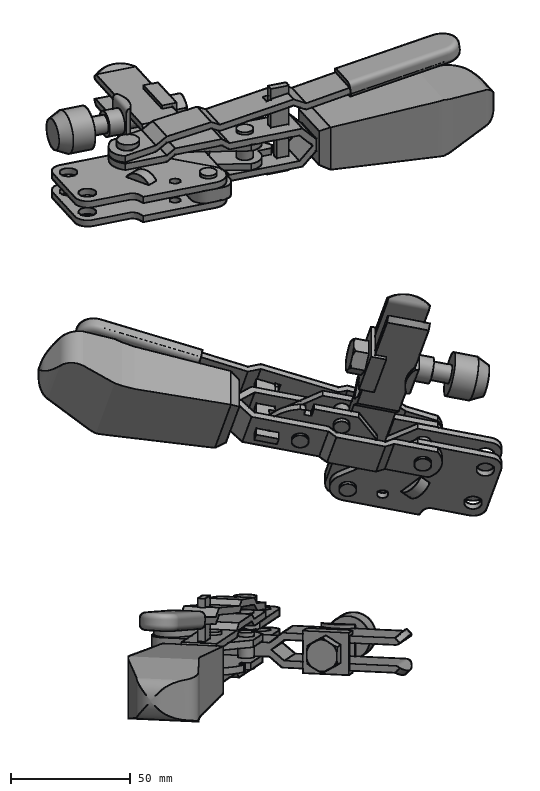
import cadquery as cq
import math


sheet = 3.0
base_inner = sheet
base_outer = base_inner + sheet
handle_inner = base_outer
handle_outer = handle_inner + sheet
reach = 200.2

handle_pivot = (0.0, 0.0)
arm_pivot = (25.0, 25.8)
link_handle_pivot = (0.0, 53.0)
link_arm_pivot = (-10.2, 37.8)
pin_radius = 3.6

base_left = -7.5
base_bottom = -33.5
base_step_x = 27.6
base_step_bottom = -11.8
base_step_top = -7.0
base_notch_middle = (28.5, -9.0)
base_notch_end = (30.0, -7.8)
base_corner = 5.8
arm_boss_radius = 7.6
base_right = arm_pivot[0] + arm_boss_radius
mount_hole_y = -27.0
mount_hole_xs = (0.0, 20.0)
mount_hole_d = 7.5
stop_hole = (24.8, 10.8)
stop_hole_d = 4.6
bump_center = (17.5, -1.5)
bump_length = 12.0
bump_width = 5.2
bump_height = 3.2
bump_angle = 29.0
arm_pivot_head = 7.5
handle_pivot_bottom = -10.2
release_head_radius = 4.8
release_head_bottom = 13.0
release_head_top = 15.8

arm_bottom = 17.0
arm_width = 18.0
arm_top = arm_bottom + arm_width
arm_end_corner = 6.0
leg_inner = 4.5
leg_outer = leg_inner + sheet
leg_join_x = -19.6
leg_split_x = -25.0
leg_join_shift = 0.8
leg_split_shift = 1.0
arm_tip_x = -78.0
flare_length = 3.0
flare_angle = 45.0
flare_x = arm_tip_x + (flare_length + sheet) * math.sin(math.radians(flare_angle))

link_left = -15.8
link_shoulder_y = 47.5
link_low_y = 31.8
link_low_run = 10.8
link_round = 7.2
lock_shoulder_y = 51.3
lock_throat_x = -11.6
lock_tooth_x = -14.2
lock_tooth_y = 54.5
lock_back_y = 56.9
lock_tip = (-4.8, 67.7)
lock_inner_x = -2.5
lock_inner_y = 66.0
link_handle_pin_end = 10.2
link_arm_pin_end = 7.8
link_arm_pin_radius = 3.5

strap_width = 15.2
strap_end_y = -8.0
strap_end_shoulder_y = -4.5
bulge_height = 2.6
bulge_ys = (14.5, 18.2, 39.5, 42.9)
pinch_start_y = 76.0
pinch_end_y = 82.1
pinch_inner_shift = 1.5
handle_tang_y = 120.2

grip_bottom = 82.3
grip_mouth_half = 8.0
grip_mouth_y = 86.5
grip_neck_half = 10.0
grip_crest_y = 137.5
grip_half_height = 13.2
grip_nose_y = 161.0
grip_nose_half = 8.5
grip_top = 166.8

lug_half_thickness = 1.6
lug_back_y = 72.5
lug_front_y = 64.3
lug_neck_y = 66.9
lug_foot_y = 62.7
lug_top = 27.2
lug_shoulder_z = 3.6
lug_bottom = -12.8
slot_half_width = 2.0
slot_front_y = 62.0

cover_width = 16.5
cover_thickness = 7.5
cover_length = 52.9
cover_start_y = 97.7
cover_start_z = 22.6
cover_tilt = 8.6
cover_edge = 2.5

spindle_x = -44.5
spindle_radius = 4.0
hex_flats = 13.0
hex_height = 6.6
hex_corner_chamfer = 0.8
clip_sheet = 1.8
clip_half_height = 9.0
top_clip_width = 19.8
top_clip_depth = 6.6
low_clip_width = 14.5
low_clip_rise = 3.8
low_clip_bend = 1.6
collar_radius = 5.6
collar_bottom = 8.5
bumper_radius = 9.5
bumper_tip_radius = 6.8
bumper_top = 0.2
bumper_cone_y = -9.8
bumper_bottom = -15.2
spindle_end = -8.0


def pin(center, radius, low, high):
    """A round pin parallel to Z."""
    return cq.Workplane("XY", origin=(*center, low)).circle(radius).extrude(high - low)


def plate(outline, low, high):
    """An XY outline (closed wire on a Workplane) extruded from low to high."""
    return outline.extrude(high - low).translate((0, 0, low))


def side_profile(points, half_width):
    """A closed (Y, Z) polygon extruded to both sides of the YZ plane."""
    return cq.Workplane("YZ").polyline(points).close().extrude(half_width, both=True)


def y_cylinder(radius, low, high):
    """A cylinder on the spindle axis."""
    return cq.Workplane("XZ", origin=(spindle_x, high, 0)).circle(radius).extrude(high - low)


def mirrored(body):
    """The body together with its mirror image below the middle plane."""
    return body.union(body.mirror("XY"))


def make_base():
    """Two side plates held together by the arm pivot and the handle pivot."""
    diagonal = arm_boss_radius * math.sqrt(0.5)
    tangent_x = arm_pivot[0] - diagonal
    tangent_y = arm_pivot[1] + diagonal
    boss_top = (arm_pivot[0], arm_pivot[1] + arm_boss_radius)
    outline = (
        cq.Workplane("XY")
        .moveTo(base_left, base_bottom)
        .lineTo(base_step_x, base_bottom)
        .lineTo(base_step_x, base_step_bottom)
        .threePointArc(base_notch_middle, base_notch_end)
        .lineTo(base_right, base_step_top)
        .lineTo(base_right, arm_pivot[1])
        .threePointArc(boss_top, (tangent_x, tangent_y))
        .lineTo(base_left, tangent_y - (tangent_x - base_left))
        .close()
    )
    side = plate(outline, base_inner, base_outer)
    corners = cq.selectors.BoxSelector(
        (base_left - 2, base_bottom - 2, 0), (base_step_x + 2, base_bottom + 2, reach)
    )
    side = side.edges("|Z").edges(corners).fillet(base_corner)
    mount_holes = [(x, mount_hole_y) for x in mount_hole_xs]
    for centers, diameter in ((mount_holes, mount_hole_d), ([stop_hole], stop_hole_d)):
        holes = cq.Workplane("XY").pushPoints(centers).circle(diameter / 2).extrude(reach)
        side = side.cut(holes)
    bump = (
        cq.Workplane("XZ")
        .moveTo(-bump_length / 2, 0)
        .threePointArc((0, bump_height), (bump_length / 2, 0))
        .close()
        .extrude(bump_width / 2, both=True)
        .rotate((0, 0, 0), (0, 0, 1), bump_angle)
        .translate((*bump_center, base_outer))
    )
    base = mirrored(side.union(bump))
    base = base.union(pin(arm_pivot, pin_radius, -arm_pivot_head, arm_pivot_head))
    base = base.union(pin(handle_pivot, pin_radius, handle_pivot_bottom, release_head_top))
    return base.union(pin(handle_pivot, release_head_radius, release_head_bottom, release_head_top))


def make_arm_tip():
    """Round-ended tip bent outward from the upper leg, with the bend that joins it to the leg."""
    half = arm_width / 2
    crease = (flare_x, arm_bottom + half, leg_outer)
    tip = (
        cq.Workplane("XY")
        .moveTo(0, -half)
        .threePointArc((-flare_length, 0), (0, half))
        .close()
        .extrude(-sheet)
        .rotate((0, 0, 0), (0, 1, 0), flare_angle)
        .translate(crease)
    )
    inner_points = []
    for share in (0.5, 1.0):
        angle = math.radians(share * flare_angle)
        inner_points.append((flare_x - sheet * math.sin(angle), leg_outer - sheet * math.cos(angle)))
    bend = (
        cq.Workplane("XZ")
        .moveTo(flare_x, leg_outer)
        .lineTo(flare_x, leg_inner)
        .threePointArc(*inner_points)
        .close()
        .extrude(-arm_width)
        .translate((0, arm_bottom, 0))
    )
    return tip.union(bend)


def make_arm():
    """Two bent sheets, laid together at the pivot and spread into two legs with flared tips."""
    leg = (
        cq.Workplane("XZ")
        .polyline([
            (base_right, 0),
            (base_right, sheet),
            (leg_join_x, sheet),
            (leg_split_x, leg_outer),
            (flare_x, leg_outer),
            (flare_x, leg_inner),
            (leg_split_x - leg_split_shift, leg_inner),
            (leg_join_x - leg_join_shift, 0),
        ])
        .close()
        .extrude(-arm_width)
        .translate((0, arm_bottom, 0))
        .edges("|Z and >X")
        .fillet(arm_end_corner)
    )
    return mirrored(leg.union(make_arm_tip()))


def link_outline():
    """Outline shared by both link plates: a sharp-cornered left side and a round top right."""
    pivot_x, pivot_y = link_handle_pivot
    diagonal = link_round * math.sqrt(0.5)
    return (
        cq.Workplane("XY")
        .moveTo(link_left, link_shoulder_y)
        .lineTo(link_left, link_low_y)
        .lineTo(link_left + link_low_run, link_low_y - link_low_run)
        .lineTo(pivot_x + link_round, pivot_y)
        .threePointArc((pivot_x + diagonal, pivot_y + diagonal), (pivot_x, pivot_y + link_round))
        .lineTo(pivot_x - diagonal / 2, pivot_y + link_round)
        .close()
    )


def lock_hook_outline():
    """Outline of the hook that the release lug catches."""
    return (
        cq.Workplane("XY")
        .moveTo(link_left, link_shoulder_y)
        .lineTo(link_left, lock_shoulder_y)
        .lineTo(lock_throat_x, lock_shoulder_y)
        .lineTo(lock_throat_x, lock_tooth_y)
        .lineTo(lock_tooth_x, lock_tooth_y)
        .lineTo(lock_tooth_x, lock_back_y)
        .threePointArc((-11.6, 61.9), lock_tip)
        .lineTo(lock_inner_x, lock_inner_y)
        .lineTo(lock_inner_x, link_shoulder_y)
        .close()
    )


def make_link():
    """Two link plates on two pins; the lower plate carries the lock hook."""
    upper = plate(link_outline(), base_inner, base_outer)
    lower = plate(link_outline(), -base_outer, -base_inner)
    hook = plate(lock_hook_outline(), -base_outer, -base_inner)
    handle_pin = pin(link_handle_pivot, pin_radius, -link_handle_pin_end, link_handle_pin_end)
    arm_pin = pin(link_arm_pivot, link_arm_pin_radius, -link_arm_pin_end, link_arm_pin_end)
    return handle_pin.union(upper).union(lower).union(hook).union(arm_pin)


def strap_outline():
    """Plan of a strap with a shallow round end at the handle pivot, as a tall prism."""
    half = strap_width / 2
    return (
        cq.Workplane("XY")
        .moveTo(-half, reach)
        .lineTo(-half, strap_end_shoulder_y)
        .threePointArc((0, strap_end_y), (half, strap_end_shoulder_y))
        .lineTo(half, reach)
        .close()
        .extrude(reach, both=True)
    )


def make_handle():
    """Two straps that bulge around the link, then pinch together into a tang."""
    bulge = (0, bulge_height, bulge_height, 0)
    outer = [(strap_end_y, handle_outer)]
    outer += [(y, handle_outer + rise) for y, rise in zip(bulge_ys, bulge)]
    outer += [(pinch_start_y, handle_outer), (pinch_end_y, sheet), (handle_tang_y, sheet)]
    inner = [(strap_end_y, handle_inner)]
    inner += [(y, handle_inner + rise) for y, rise in zip(bulge_ys, bulge)]
    inner += [
        (pinch_start_y - pinch_inner_shift, handle_inner),
        (pinch_end_y - pinch_inner_shift, 0),
        (handle_tang_y, 0),
    ]
    strap = side_profile(outer + inner[::-1], strap_width / 2)
    return mirrored(strap).intersect(strap_outline())


def make_grip():
    """Plan outline and side outline of the grip, intersected."""
    plan = (
        cq.Workplane("XY")
        .moveTo(-11.0, grip_bottom)
        .lineTo(10.6, grip_bottom)
        .lineTo(13.0, grip_mouth_y)
        .lineTo(14.6, 134.2)
        .threePointArc((14.5, 138.0), (13.2, 141.8))
        .lineTo(4.8, 160.8)
        .threePointArc((1.8, 165.2), (-2.8, grip_top))
        .threePointArc((-5.2, grip_top - 0.5), (-7.5, 165.5))
        .lineTo(-15.2, 161.0)
        .threePointArc((-18.8, 157.4), (-19.6, 152.2))
        .lineTo(-15.0, 134.2)
        .lineTo(-14.2, 128.5)
        .lineTo(-13.2, grip_mouth_y)
        .close()
        .extrude(reach, both=True)
    )
    side = (
        cq.Workplane("YZ")
        .moveTo(grip_bottom, -grip_mouth_half)
        .lineTo(grip_bottom, grip_mouth_half)
        .lineTo(grip_mouth_y, grip_neck_half)
        .lineTo(grip_crest_y, grip_half_height)
        .lineTo(grip_nose_y, grip_nose_half)
        .threePointArc((grip_top, 0), (grip_nose_y, -grip_nose_half))
        .lineTo(grip_crest_y, -grip_half_height)
        .lineTo(grip_mouth_y, -grip_neck_half)
        .close()
        .extrude(reach, both=True)
    )
    return plan.intersect(side)


def make_release_lever():
    """Jogged strap over the handle, with the locking lug standing through it."""
    top_line = [
        (strap_end_y, 12.2),
        (9.5, 14.8),
        (14.5, 18.0),
        (34.6, 20.6),
        (38.5, 18.6),
        (72.0, 23.6),
        (77.7, 20.6),
        (97.3, 23.8),
        (140.2, 30.2),
    ]
    under_line = [(y, z - sheet) for y, z in top_line]
    strap = side_profile(top_line + under_line[::-1], strap_width / 2).intersect(strap_outline())
    slot = (
        cq.Workplane("XY")
        .rect(2 * slot_half_width, lug_front_y - slot_front_y)
        .extrude(reach)
        .translate((0, (slot_front_y + lug_front_y) / 2, 0))
    )
    lug = side_profile([
        (lug_back_y, lug_top),
        (lug_front_y, lug_top),
        (lug_front_y, lug_shoulder_z),
        (lug_neck_y, lug_shoulder_z),
        (lug_neck_y, -handle_outer),
        (lug_foot_y, -handle_outer),
        (lug_foot_y, lug_bottom),
        (lug_back_y, lug_bottom),
    ], lug_half_thickness)
    return strap.cut(slot).union(lug)


def make_release_cover():
    """Round-ended grip sleeve, tilted to follow the release lever."""
    radius = cover_width / 2
    straight = cover_length - radius
    return (
        cq.Workplane("XY")
        .moveTo(-radius, 0)
        .lineTo(radius, 0)
        .lineTo(radius, straight)
        .threePointArc((0, cover_length), (-radius, straight))
        .close()
        .extrude(cover_thickness / 2, both=True)
        .faces("<Z or >Z").edges("not |X")
        .fillet(cover_edge)
        .rotate((0, 0, 0), (1, 0, 0), cover_tilt)
        .translate((0, cover_start_y, cover_start_z))
    )


def make_spindle():
    """Hex-head bolt with the two clips that straddle the arm, and a collar below."""
    clip_top = arm_top + clip_sheet
    clip_bottom = arm_bottom - clip_sheet
    head = (
        cq.Workplane("XZ", origin=(spindle_x, clip_top, 0))
        .transformed(rotate=(0, 0, 90))
        .polygon(6, hex_flats / math.cos(math.pi / 6))
        .extrude(-hex_height)
    )
    head_top = clip_top + hex_height
    corner_radius = hex_flats / math.sqrt(3)
    head_round = y_cylinder(corner_radius, clip_top, head_top).faces(">Y").chamfer(hex_corner_chamfer)
    head = head.intersect(head_round)
    top_clip = (
        cq.Workplane("XY")
        .box(top_clip_width, top_clip_depth, 2 * clip_half_height)
        .translate((spindle_x, clip_top - top_clip_depth / 2, 0))
    )
    low_clip = (
        cq.Workplane("XY")
        .moveTo(-low_clip_width / 2, clip_bottom)
        .lineTo(low_clip_width / 2, clip_bottom)
        .lineTo(low_clip_width / 2, arm_bottom)
        .threePointArc((0, clip_bottom + low_clip_rise), (-low_clip_width / 2, arm_bottom))
        .close()
        .extrude(clip_half_height, both=True)
        .faces("<Y").edges("|X").fillet(low_clip_bend)
        .translate((spindle_x, 0, 0))
    )
    arm_space = (
        cq.Workplane("XY")
        .box(reach, arm_width, 2 * leg_outer)
        .translate((spindle_x, arm_bottom + arm_width / 2, 0))
    )
    clips = top_clip.union(low_clip).cut(arm_space)
    shank = y_cylinder(spindle_radius, spindle_end, clip_top)
    collar = y_cylinder(collar_radius, collar_bottom, clip_bottom)
    return shank.union(head).union(clips).union(collar)


def make_bumper():
    """Turned rubber foot with a conical tip."""
    return (
        cq.Workplane("XY")
        .moveTo(0, bumper_bottom)
        .lineTo(bumper_tip_radius, bumper_bottom)
        .lineTo(bumper_radius, bumper_cone_y)
        .lineTo(bumper_radius, bumper_top)
        .lineTo(0, bumper_top)
        .close()
        .revolve(360, (0, 0, 0), (0, 1, 0))
        .translate((spindle_x, 0, 0))
    )


base = make_base()
link = make_link()
spindle = make_spindle()
arm = make_arm().cut(base).cut(link)
release_lever = make_release_lever().cut(base)
handle = make_handle().cut(base).cut(link).cut(release_lever)
grip = make_grip().cut(handle)
release_cover = make_release_cover().cut(release_lever)
bumper = make_bumper().cut(spindle)

result = cq.Compound.makeCompound([
    base.val(),
    arm.val(),
    link.val(),
    handle.val(),
    grip.val(),
    release_lever.val(),
    release_cover.val(),
    spindle.val(),
    bumper.val(),
])